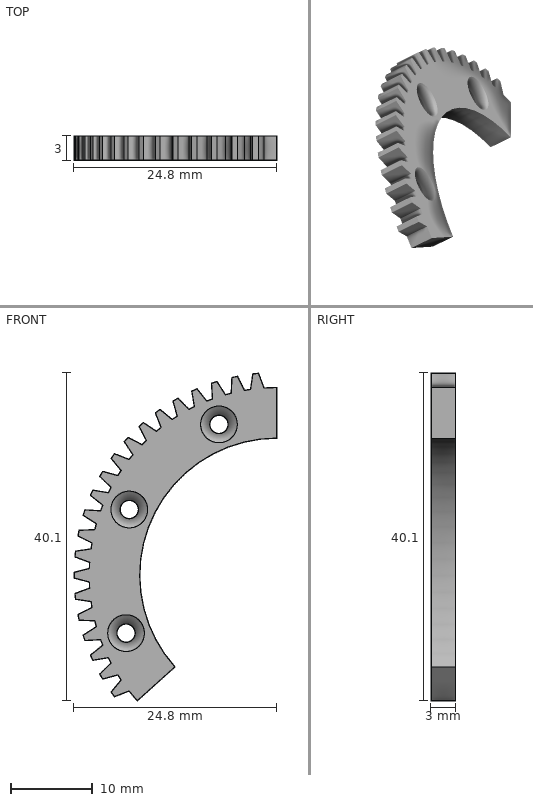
import cadquery as cq
import math


thickness = 3.0
inner_radius = 16.75
root_radius = 22.97
tip_radius = 24.8

tooth_pitch = 360 / 60
tooth_count = 21
tip_width = 0.72
base_width = 1.7

start_angle = 90
end_angle = start_angle + (tooth_count + 1) * tooth_pitch

hole_count = 3
hole_circle_radius = 19.75
first_hole_angle = 111
hole_spacing = 45
hole_diameter = 2.2
countersink_diameter = 4.5
countersink_angle = 90


def polar(radius, angle):
    """Point in the XZ plane at a radius and an angle about the gear axis."""
    return (
        radius * math.cos(math.radians(angle)),
        radius * math.sin(math.radians(angle)),
    )


def half_angle(width, radius):
    """Half of the angle that a chord of the given width spans at a radius."""
    return math.degrees(math.asin(width / 2 / radius))


def arc_to(outline, radius, from_angle, to_angle):
    """Extend the outline along an arc about the gear axis."""
    middle = polar(radius, (from_angle + to_angle) / 2)
    return outline.threePointArc(middle, polar(radius, to_angle))


def make_segment():
    """Ring segment with teeth on its outer side."""
    base_half = half_angle(base_width, root_radius)
    tip_half = half_angle(tip_width, tip_radius)

    outline = cq.Workplane("XZ").moveTo(*polar(inner_radius, start_angle))
    outline = outline.lineTo(*polar(root_radius, start_angle))
    gap_start = start_angle
    for index in range(1, tooth_count + 1):
        tooth_angle = start_angle + index * tooth_pitch
        outline = arc_to(outline, root_radius, gap_start, tooth_angle - base_half)
        outline = outline.lineTo(*polar(tip_radius, tooth_angle - tip_half))
        outline = arc_to(outline, tip_radius, tooth_angle - tip_half, tooth_angle + tip_half)
        gap_start = tooth_angle + base_half
        outline = outline.lineTo(*polar(root_radius, gap_start))

    outline = arc_to(outline, root_radius, gap_start, end_angle)
    outline = outline.lineTo(*polar(inner_radius, end_angle))
    outline = arc_to(outline, inner_radius, end_angle, start_angle)
    return outline.close().extrude(thickness)


def cut_screw_holes(segment):
    """Through holes countersunk from the front (-Y) face."""
    centers = [
        polar(hole_circle_radius, first_hole_angle + index * hole_spacing)
        for index in range(hole_count)
    ]
    front_face = cq.Workplane("XZ", origin=(0, -thickness, 0))
    return (
        segment.copyWorkplane(front_face)
        .pushPoints(centers)
        .cskHole(hole_diameter, countersink_diameter, countersink_angle)
    )


result = cut_screw_holes(make_segment())